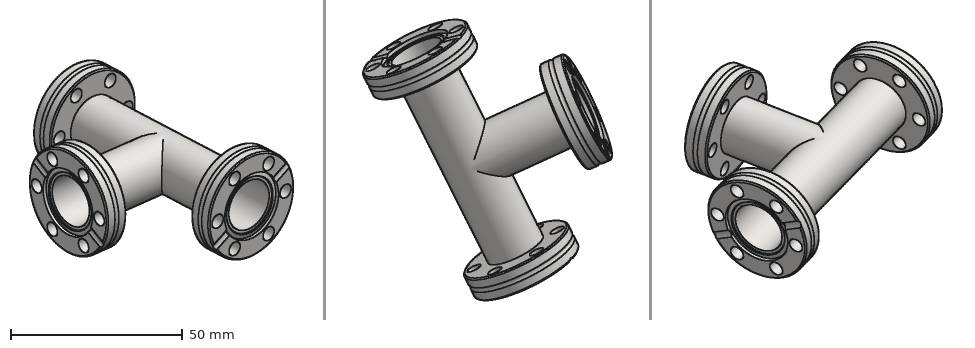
import cadquery as cq


run_length = 76.0
branch_length = 38.0
pipe_diameter = 18.0
bore_diameter = 16.0

flange_diameter = 34.0
flange_thickness = 7.7
edge_chamfer = 0.45

rim_groove_width = 1.5
rim_groove_depth = 0.2

recess_diameter = 21.4
recess_depth = 1.2
knife_diameter = 18.4
knife_depth = 0.75
socket_diameter = 18.0
socket_depth = 1.15

bolt_count = 6
bolt_circle_diameter = 27.0
bolt_hole_diameter = 4.4

leak_groove_width = 2.35
leak_groove_depth = 0.6
leak_groove_angle = -30.0


def arc_radius(width, depth):
    """Radius of a circular arc from its chord width and its depth."""
    return (width ** 2 / 4 + depth ** 2) / (2 * depth)


def flange_body():
    """Revolve the flange about Z, with its seal face at Z = 0 and its back at -Z."""
    radius = flange_diameter / 2
    middle = -flange_thickness / 2
    half_groove = rim_groove_width / 2
    profile = (
        cq.Workplane("XZ")
        .moveTo(bore_diameter / 2, -flange_thickness)
        .lineTo(radius - edge_chamfer, -flange_thickness)
        .lineTo(radius, edge_chamfer - flange_thickness)
        .lineTo(radius, middle - half_groove)
        .threePointArc((radius - rim_groove_depth, middle), (radius, middle + half_groove))
        .lineTo(radius, -edge_chamfer)
        .lineTo(radius - edge_chamfer, 0)
        .lineTo(recess_diameter / 2, 0)
        .lineTo(recess_diameter / 2, -recess_depth)
        .lineTo(knife_diameter / 2, -knife_depth)
        .lineTo(socket_diameter / 2, -socket_depth)
        .lineTo(bore_diameter / 2, -socket_depth)
        .close()
    )
    return profile.revolve(360, (0, 0, 0), (0, 1, 0))


def bolt_holes():
    """Cylinders through the flange, the first one on the local X axis."""
    return (
        cq.Workplane("XY")
        .polarArray(bolt_circle_diameter / 2, 0, 360, bolt_count)
        .circle(bolt_hole_diameter / 2)
        .extrude(-flange_thickness)
    )


def leak_grooves():
    """Two opposite round-bottomed cuts from the seal recess out to the rim."""
    radius = arc_radius(leak_groove_width, leak_groove_depth)
    groove = (
        cq.Workplane("YZ")
        .center(0, radius - leak_groove_depth)
        .circle(radius)
        .extrude(flange_diameter / 2, both=True)
    )
    recess_core = cq.Workplane("XY").circle(recess_diameter / 2).extrude(2 * flange_thickness, both=True)
    return groove.cut(recess_core).rotate((0, 0, 0), (0, 0, 1), leak_groove_angle)


def branch_flange():
    """Flange facing -Y, placed at the end of the branch."""
    flange = flange_body().cut(bolt_holes()).cut(leak_grooves())
    return flange.rotate((0, 0, 0), (1, 0, 0), 90).translate((0, -branch_length, 0))


def left_flange():
    """Flange facing -X, at the left end of the run."""
    shift = branch_length - run_length / 2
    flange = branch_flange().translate((0, shift, 0))
    return flange.rotate((0, 0, 0), (0, 0, 1), -90)


def tee(diameter):
    """Solid tee of one diameter, stopping at the flange sockets."""
    run = cq.Workplane("YZ").circle(diameter / 2).extrude(run_length / 2 - socket_depth, both=True)
    branch = cq.Workplane("XZ").circle(diameter / 2).extrude(branch_length - socket_depth)
    return run.union(branch)


right_flange = left_flange().mirror("YZ")
outer_body = tee(pipe_diameter).union(branch_flange()).union(left_flange()).union(right_flange)
result = outer_body.cut(tee(bore_diameter))